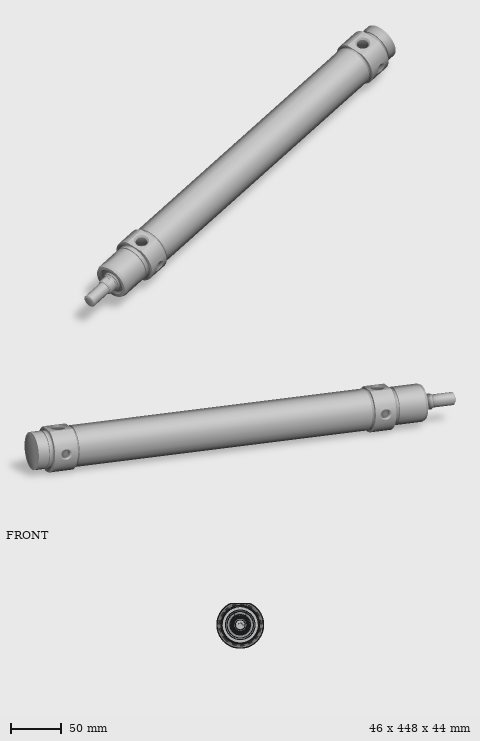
import cadquery as cq

overall_length = 448.0

thread_end = 23.7
flats_start = 31.0
nose_face = 34.0
front_groove_start = 64.5
front_collar_start = 70.0
front_collar_end = 92.0
barrel_start = 94.5
barrel_end = 405.5
rear_collar_start = 408.0
rear_collar_end = 432.5
rear_groove_start = 436.0

barrel_diameter = 41.5
collar_diameter = 46.0
spigot_diameter = 40.0
boss_diameter = 38.0
groove_diameter = 36.0
groove_width = 1.5
nose_diameter = 36.0
rod_diameter = 16.0
shank_end_diameter = 14.5
thread_diameter = 13.0
thread_tip_diameter = 10.0

nose_chamfer = 2.5
shank_chamfer = 1.5
thread_chamfer = 1.0
collar_flat_height = 21.0
wrench_size = 15.0

recess_mouth_diameter = 29.0
recess_floor_diameter = 26.0
recess_depth = 2.2
wiper_diameter = 20.0
lip_base_diameter = 18.0
lip_tip_diameter = 17.0
lip_length = 1.5

port_mouth_diameter = 15.0
port_diameter = 11.5
port_countersink = 2.0

trunnion_mouth_diameter = 12.0
trunnion_diameter = 9.0
trunnion_countersink = 1.5
trunnion_depth = 5.5

needle_diameter = 4.0

collar_radius = collar_diameter / 2
front_port_y = (front_collar_start + front_collar_end) / 2
rear_port_y = (rear_collar_start + rear_collar_end) / 2


def cylinder(diameter, start, end):
    """Cylinder on the Y axis between two stations."""
    return cq.Workplane("XZ", origin=(0, start, 0)).circle(diameter / 2).extrude(start - end)


def cone(start_diameter, end_diameter, base, direction, height):
    """Truncated cone from a base point along a direction."""
    solid = cq.Solid.makeCone(
        start_diameter / 2, end_diameter / 2, height, pnt=cq.Vector(*base), dir=cq.Vector(*direction)
    )
    return cq.Workplane(obj=solid)


def axial_cone(start_diameter, end_diameter, start, end):
    """Truncated cone on the Y axis between two stations."""
    return cone(start_diameter, end_diameter, (0, start, 0), (0, 1, 0), end - start)


def collar(start, end):
    """Round collar with a flat on top for the air port."""
    body = cylinder(collar_diameter, start, end)
    flat_cut = cq.Workplane().box(
        collar_diameter, end - start, collar_radius, centered=(True, False, False)
    ).translate((0, start, collar_flat_height))
    return body.cut(flat_cut)


def port_cutter(y):
    """Countersunk port from the collar flat down to the cylinder axis."""
    hole = cq.Workplane("XY", origin=(0, y, 0)).circle(port_diameter / 2).extrude(collar_flat_height)
    mouth = cone(port_mouth_diameter, port_diameter, (0, y, collar_flat_height), (0, 0, -1), port_countersink)
    return hole.union(mouth)


def trunnion_cutter(y, side):
    """Countersunk blind hole in one side of a collar; side is -1 or +1 along X."""
    floor_x = side * (collar_radius - trunnion_depth)
    hole = (
        cq.Workplane("YZ", origin=(floor_x, y, 0)).circle(trunnion_diameter / 2).extrude(side * trunnion_depth)
    )
    mouth_centre = (side * collar_radius, y, 0)
    mouth = cone(trunnion_mouth_diameter, trunnion_diameter, mouth_centre, (-side, 0, 0), trunnion_countersink)
    return hole.union(mouth)


def drill_collar(cover, y):
    """Cut the air port and both trunnion holes of a collar centred at y."""
    cover = cover.cut(port_cutter(y))
    for side in (-1, 1):
        cover = cover.cut(trunnion_cutter(y, side))
    return cover


def make_barrel():
    return cylinder(barrel_diameter, barrel_start, barrel_end)


def cut_groove(cover, start):
    """Turn a narrow groove into the boss of a cover."""
    end = start + groove_width
    return cover.cut(cylinder(boss_diameter, start, end).cut(cylinder(groove_diameter, start, end)))


def make_front_cover():
    boss_start = nose_face + nose_chamfer
    recess_floor = nose_face + recess_depth
    lip_end = nose_face - lip_length
    cover = (
        cylinder(boss_diameter, boss_start, front_collar_start)
        .union(axial_cone(nose_diameter, boss_diameter, nose_face, boss_start))
        .cut(axial_cone(recess_mouth_diameter, recess_floor_diameter, nose_face, recess_floor))
        .union(cylinder(wiper_diameter, nose_face, recess_floor))
        .union(axial_cone(lip_tip_diameter, lip_base_diameter, lip_end, nose_face))
        .union(collar(front_collar_start, front_collar_end))
        .union(cylinder(spigot_diameter, front_collar_end, barrel_start))
        .cut(cylinder(rod_diameter, lip_end, barrel_start))
    )
    cover = cut_groove(cover, front_groove_start)
    return drill_collar(cover, front_port_y)


def make_rear_cover():
    cover = (
        cylinder(boss_diameter, rear_collar_end, overall_length)
        .union(collar(rear_collar_start, rear_collar_end))
        .union(cylinder(spigot_diameter, barrel_end, rear_collar_start))
    )
    cover = cut_groove(cover, rear_groove_start)
    needle_reach = port_mouth_diameter / 2
    needle = cylinder(needle_diameter, rear_port_y - needle_reach, rear_port_y + needle_reach)
    return drill_collar(cover, rear_port_y).union(needle)


def make_rod():
    shank_start = thread_end + shank_chamfer
    shank = (
        cylinder(rod_diameter, shank_start, barrel_start)
        .union(axial_cone(shank_end_diameter, rod_diameter, thread_end, shank_start))
    )
    for side in (-1, 1):
        flat_cut = cq.Workplane().box(
            rod_diameter, flats_start - thread_end, rod_diameter, centered=(True, False, True)
        ).translate((0, thread_end, side * (wrench_size + rod_diameter) / 2))
        shank = shank.cut(flat_cut)
    return (
        shank.union(cylinder(thread_diameter, thread_chamfer, thread_end))
        .union(axial_cone(thread_tip_diameter, thread_diameter, 0, thread_chamfer))
    )


barrel = make_barrel()
front_cover = make_front_cover()
rear_cover = make_rear_cover()
rod = make_rod()

result = cq.Compound.makeCompound([barrel.val(), front_cover.val(), rear_cover.val(), rod.val()])